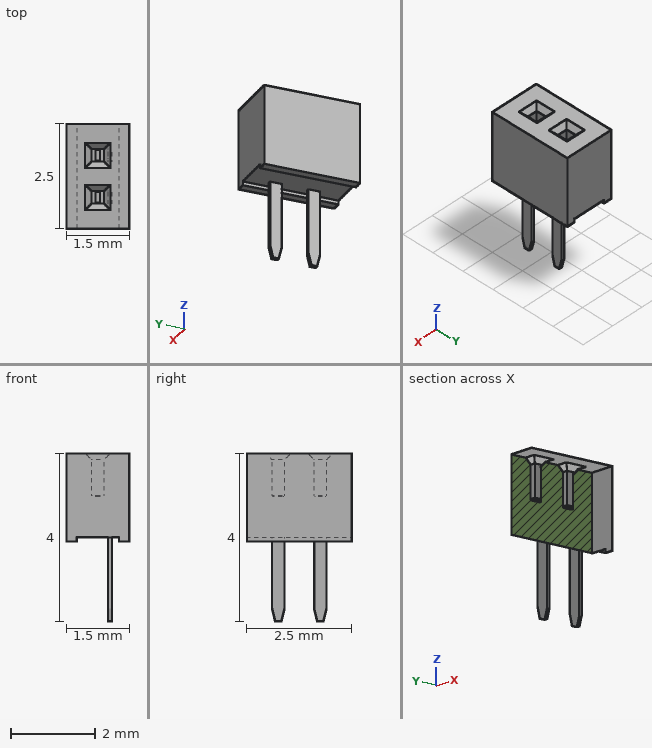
import cadquery as cq


BODY_X = 1.5
BODY_Y = 2.5
BODY_Z = 2.1
FOOT_WIDTH = 0.25
FOOT_HEIGHT = 0.1

PITCH = 1.0
CONTACT_COUNT = 2

MOUTH_SIDE = 0.6
HOLE_SIDE = 0.3
LEAD_IN_DEPTH = (MOUTH_SIDE - HOLE_SIDE) / 2
SOCKET_DEPTH = 1.0

RECESS_WIDTH = 0.1
RECESS_FLOOR_LENGTH = 0.25
RECESS_DEPTH = (HOLE_SIDE - RECESS_FLOOR_LENGTH) / 2

PIN_X = 0.29
PIN_THICKNESS = 0.1
PIN_WIDTH = 0.3
PIN_LENGTH = 1.9
PIN_TIP_WIDTH = 0.15
PIN_TAPER_LENGTH = 0.3
PIN_TOP = FOOT_HEIGHT


def make_housing():
    """Block with a channel along Y that leaves a foot on each long side."""
    block = cq.Workplane("XY").box(BODY_X, BODY_Y, BODY_Z, centered=(True, True, False))
    channel_width = BODY_X - 2 * FOOT_WIDTH
    channel = cq.Workplane("XY").box(channel_width, BODY_Y, FOOT_HEIGHT, centered=(True, True, False))
    return block.cut(channel)


def make_socket(y):
    """Cutting shape of one socket: lead-in, square hole and floor recess."""
    floor_z = BODY_Z - SOCKET_DEPTH
    lead_in = (
        cq.Workplane("XY", origin=(0, y, BODY_Z))
        .rect(MOUTH_SIDE, MOUTH_SIDE)
        .workplane(offset=-LEAD_IN_DEPTH)
        .rect(HOLE_SIDE, HOLE_SIDE)
        .loft(ruled=True)
    )
    hole = (
        cq.Workplane("XY", origin=(0, y, floor_z))
        .rect(HOLE_SIDE, HOLE_SIDE)
        .extrude(SOCKET_DEPTH - LEAD_IN_DEPTH)
    )
    recess = (
        cq.Workplane("YZ", origin=(-RECESS_WIDTH / 2, y, floor_z))
        .moveTo(-HOLE_SIDE / 2, 0)
        .lineTo(-RECESS_FLOOR_LENGTH / 2, -RECESS_DEPTH)
        .lineTo(RECESS_FLOOR_LENGTH / 2, -RECESS_DEPTH)
        .lineTo(HOLE_SIDE / 2, 0)
        .close()
        .extrude(RECESS_WIDTH)
    )
    return lead_in.union(hole).union(recess)


def make_pin(y):
    """Flat pin below the housing, narrowing in Y towards its tip."""
    taper_z = PIN_TAPER_LENGTH - PIN_LENGTH
    return (
        cq.Workplane("YZ", origin=(PIN_X - PIN_THICKNESS / 2, y, 0))
        .moveTo(-PIN_WIDTH / 2, PIN_TOP)
        .lineTo(-PIN_WIDTH / 2, taper_z)
        .lineTo(-PIN_TIP_WIDTH / 2, -PIN_LENGTH)
        .lineTo(PIN_TIP_WIDTH / 2, -PIN_LENGTH)
        .lineTo(PIN_WIDTH / 2, taper_z)
        .lineTo(PIN_WIDTH / 2, PIN_TOP)
        .close()
        .extrude(PIN_THICKNESS)
    )


result = make_housing()
for index in range(CONTACT_COUNT):
    contact_y = (index - (CONTACT_COUNT - 1) / 2) * PITCH
    result = result.cut(make_socket(contact_y)).union(make_pin(contact_y))